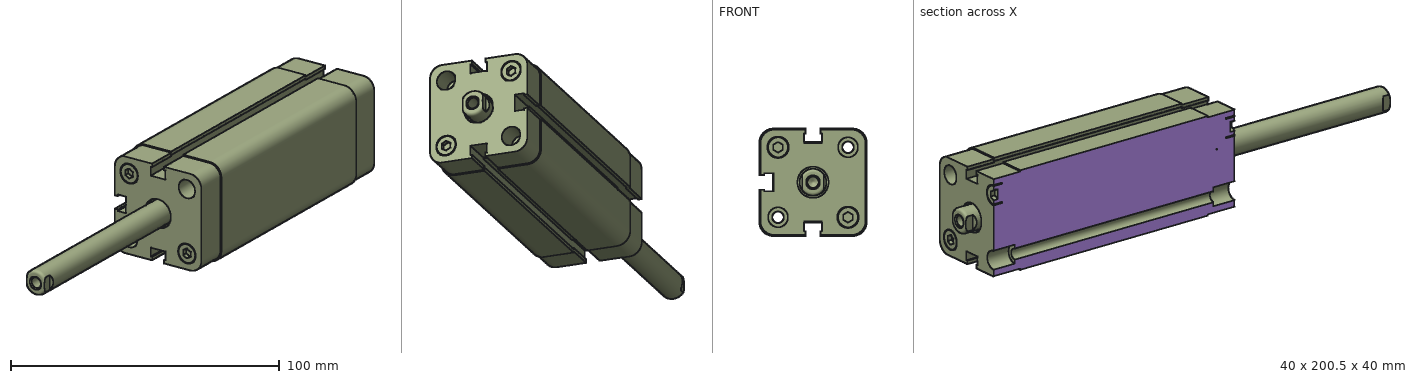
import cadquery as cq
import math


body_side = 40.0
body_corner_radius = 5.5
cap_inset = 0.5
cap_side = body_side - 2 * cap_inset
cap_corner_radius = body_corner_radius - cap_inset
housing_length = 113.9
cap_length = 12.6
body_length = housing_length - 2 * cap_length

slot_mouth_width = 5.5
slot_inner_width = 6.6
slot_depth = 5.0
slot_lip = 1.5
slot_angles = (0, 90, 180)

rod_diameter = 10.0
overall_length = 200.5
rear_rod_length = 6.0
front_rod_length = overall_length - housing_length - rear_rod_length
rod_end_rounding = 1.2
flats_width = 8.0
flats_length = 3.5
flats_runout = (rod_diameter - flats_width) / 2
rod_bore_diameter = 11.6
rod_bore_depth = 2.0

thread_diameter = 4.2
thread_mouth_diameter = 5.2
thread_depth = 10.0
thread_tip_angle = 118

fixing_offset = 13.0
mount_hole_diameter = 4.2
mount_counterbore_diameter = 7.5
mount_counterbore_depth = 10.0
screw_hole_diameter = 8.0
screw_head_diameter = 7.5
screw_head_height = 4.0
socket_across_flats = 3.5
socket_sides = 6
socket_turn = 30
socket_depth = 2.0
mount_positions = ((-fixing_offset, -fixing_offset), (fixing_offset, fixing_offset))
screw_positions = ((-fixing_offset, fixing_offset), (fixing_offset, -fixing_offset))


def section(y):
    """Sketch plane across the axis at position y, with local x = X, local y = -Z and normal +Y."""
    return cq.Workplane(cq.Plane(origin=(0, y, 0), xDir=(1, 0, 0), normal=(0, 1, 0)))


def cylinder(diameter, y_start, length, x=0, z=0):
    return section(y_start).center(x, -z).circle(diameter / 2).extrude(length)


def top_groove(width, height, z_bottom, y_start, length):
    z_center = z_bottom + height / 2
    return section(y_start).center(0, -z_center).rect(width, height).extrude(length)


def slotted_bar(side, corner_radius, y_start, length):
    bar = section(y_start).rect(side, side).extrude(length).edges("|Y").fillet(corner_radius)
    lip_bottom = side / 2 - slot_lip
    slot_floor = side / 2 - slot_depth
    mouth = top_groove(slot_mouth_width, slot_lip, lip_bottom, y_start, length)
    channel = top_groove(slot_inner_width, lip_bottom - slot_floor, slot_floor, y_start, length)
    slot = mouth.union(channel)
    for angle in slot_angles:
        bar = bar.cut(slot.rotate((0, 0, 0), (0, 1, 0), -angle))
    return bar


def cap_details(cap):
    """Cut the fixings and the rod bore into a cap whose outer face is at y = 0."""
    for x, z in mount_positions:
        cap = cap.cut(cylinder(mount_hole_diameter, 0, cap_length, x, z))
        cap = cap.cut(cylinder(mount_counterbore_diameter, 0, mount_counterbore_depth, x, z))
    socket_circumdiameter = socket_across_flats / math.cos(math.pi / socket_sides)
    for x, z in screw_positions:
        recess = cylinder(screw_hole_diameter, 0, screw_head_height, x, z)
        head = cylinder(screw_head_diameter, 0, screw_head_height, x, z)
        socket = section(0).polygon(socket_sides, socket_circumdiameter).extrude(socket_depth)
        socket = socket.rotate((0, 0, 0), (0, 1, 0), socket_turn).translate((x, 0, z))
        cap = cap.cut(recess).union(head.cut(socket))
    return cap.cut(cylinder(rod_bore_diameter, 0, rod_bore_depth))


def front_cap():
    return cap_details(slotted_bar(cap_side, cap_corner_radius, 0, cap_length))


def middle_body():
    body = slotted_bar(body_side, body_corner_radius, cap_length, body_length)
    for x, z in mount_positions:
        body = body.cut(cylinder(mount_hole_diameter, cap_length, body_length, x, z))
    return body


def rod_end_cuts():
    """Wrench flats and tapped hole for a rod end face at y = 0, with the rod towards +Y."""
    half_flats = flats_width / 2
    rod_radius = rod_diameter / 2
    flat = (
        cq.Workplane("XY")
        .moveTo(half_flats, 0)
        .lineTo(half_flats, flats_length)
        .lineTo(rod_radius, flats_length + flats_runout)
        .lineTo(rod_radius, 0)
        .close()
        .extrude(rod_radius, both=True)
    )
    mouth_radius = thread_mouth_diameter / 2
    thread_radius = thread_diameter / 2
    tip_length = thread_radius / math.tan(math.radians(thread_tip_angle / 2))
    hole = (
        cq.Workplane("XY")
        .lineTo(mouth_radius, 0)
        .lineTo(thread_radius, mouth_radius - thread_radius)
        .lineTo(thread_radius, thread_depth)
        .lineTo(0, thread_depth + tip_length)
        .close()
        .revolve(360, (0, 0, 0), (0, 1, 0))
    )
    return hole.union(flat).union(flat.mirror("YZ"))


def piston_rod():
    front_tip = -front_rod_length
    rear_tip = front_tip + overall_length
    rod = cylinder(rod_diameter, front_tip, overall_length)
    rod = rod.faces("<Y or >Y").edges().fillet(rod_end_rounding)
    cuts = rod_end_cuts()
    rod = rod.cut(cuts.translate((0, front_tip, 0)))
    return rod.cut(cuts.mirror("XZ").translate((0, rear_tip, 0)))


cap = front_cap()
rear_cap = cap.mirror("XZ").translate((0, housing_length, 0))
result = middle_body().union(cap).union(rear_cap).union(piston_rod())